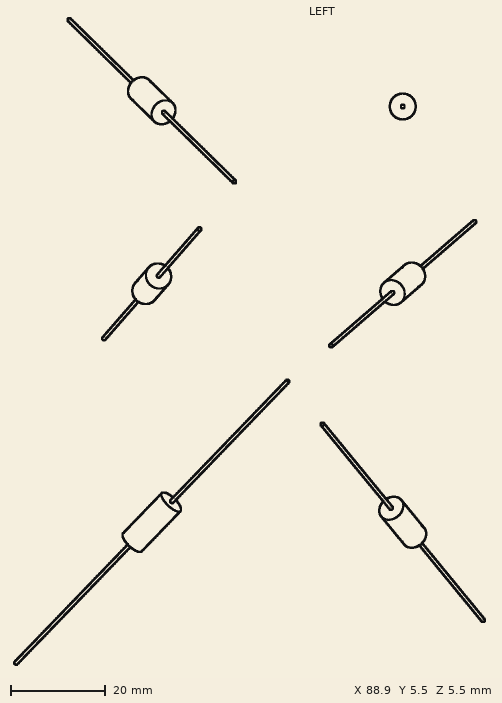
import cadquery as cq

overall_length = 88.9
body_length = 12.7
body_diameter = 5.5
lead_diameter = 0.81

lead_length = (overall_length - body_length) / 2


def make_body():
    """Plain cylinder centred on the origin."""
    end_face = cq.Workplane("YZ", origin=(-body_length / 2, 0, 0))
    return end_face.circle(body_diameter / 2).extrude(body_length)


def make_lead(side):
    """Straight wire running outward from one end face of the body; side is -1 or +1."""
    end_face = cq.Workplane("YZ", origin=(side * body_length / 2, 0, 0))
    return end_face.circle(lead_diameter / 2).extrude(side * lead_length)


body = make_body()
leads = [make_lead(side) for side in (-1, 1)]

result = cq.Compound.makeCompound([body.val(), *[lead.val() for lead in leads]])